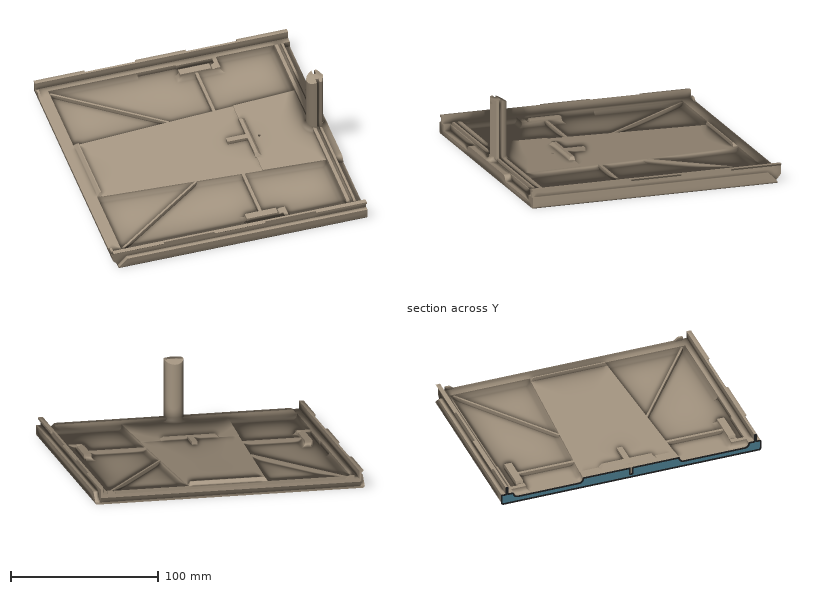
import cadquery as cq
import math

WIDTH = 188.0
LENGTH = 180.0
HEIGHT = 51.0
SIDE_X = WIDTH / 2
REAR_Y = LENGTH / 2
FRONT_Y = -REAR_Y

SKIRT_Z = 1.5
SKIRT_RADIUS = 1.4
FLOOR_Z = 4.2
FRONT_PLATEAU_Z = 7.2
RAIL_Z = 7.7
RIDGE_Z = 10.1
WALL_Z = 13.2
COVE_RADIUS = 3.0

WALL_OUTER_X = 91.0
WALL_INNER_X = 89.4
BEAD_PROJECTION = 1.6
BEAD_LENGTH = 36.0

SKIRT_FRONT_Y = FRONT_Y + 3.4
FRONT_CHAMFER_TOP_Z = 5.4
LEDGE_END_Y = FRONT_Y + 9.4

POCKET_X = 85.3
POCKET_FRONT_Y = -81.8
POCKET_REAR_Y = 78.3
PLATEAU_REAR_HALF = 37.1
PLATEAU_FRONT_HALF = 27.5
PLATEAU_STEP_Y = 33.8
FRONT_COVE_END_Y = -18.4

GROOVE_FRONT_Y = 80.6
GROOVE_REAR_Y = 83.0
REAR_RIDGE_Y = 84.5
SHELF_FRONT_Y = 85.3
SHELF_Z = 3.5
TAB_HALF = 38.3
TAB_RADIUS = 4.0
RIDGE_END_RUN = 2.6

FRONT_RIDGE_RUN = 2.5
FRONT_RIDGE_CREST = 0.8
FRONT_RIDGE_END_RUN = 1.5
BUMP_OUTER_X = 86.2
BUMP_TOP_X = 82.9
BUMP_INNER_X = 80.0
BUMP_DEPTH = 1.6

CLIP_INNER_X = 74.5
CLIP_OUTER_X = 79.7
CLIP_REAR_Y = 37.3
CLIP_FRONT_Y = 8.7
CLIP_BAR_Z = 8.4
CLIP_FOOT_OUTER_X = 78.6
SLOT_OUTER_X = 84.6
SLOT_REAR_Y = 34.5
CLIP_NOTCH_REAR_Y = 33.6
CLIP_BAR_REAR_Y = 30.7
CLIP_NOTCH_Y = 31.9
CLIP_NOTCH_DEPTH = 1.0

CROSS_RIB_WIDTH = 2.1
DIAGONAL_RIB_WIDTH = 1.4
CROSS_RIB_Y = 20.2
DIAGONAL_RIB_FRONT = (-82.9, -81.3)
DIAGONAL_RIB_REAR = (-31.6, -12.5)

STOP_Z = 9.7
STOP_END_RUN = 2.2
STOP_REAR_RUN = 2.0
STOP_HALF = 20.2
STOP_FRONT_Y = 33.0
STOP_REAR_Y = 37.5
STOP_STEM_HALF = 2.0
STOP_STEM_END_Y = 18.9
PIN_HOLE_DIAMETER = 2.0
PIN_HOLE_Y = 42.0
PIN_HOLE_DEPTH = 5.0

POST_RADIUS = 6.7
POST_Y = 82.3
POST_STEM_HALF = 2.8
POST_SLOT_FRONT_Y = 81.0
POST_SLOT_REAR_Y = 83.1
POST_APEX_Y = 87.4
POST_ROOF_SLOPE = 0.4
POST_TOP_DROP = 2.7
POST_HEAD_FOOT_RADIUS = 5.2


def box(x0, x1, y0, y1, z0, z1):
    """Axis-aligned block between two opposite corners."""
    return cq.Workplane("XY").box(x1 - x0, y1 - y0, z1 - z0, centered=False).translate((x0, y0, z0))


def prism_along_x(yz_points, x0, x1):
    return cq.Workplane("YZ").polyline(yz_points).close().extrude(x1 - x0).translate((x0, 0, 0))


def prism_along_y(xz_points, y0, y1):
    return cq.Workplane("XZ").polyline(xz_points).close().extrude(y0 - y1).translate((0, y0, 0))


def prism_along_z(xy_points, z0, z1):
    return cq.Workplane("XY").workplane(offset=z0).polyline(xy_points).close().extrude(z1 - z0)


def both_sides(left):
    """A left-hand feature together with its mirror image."""
    return left.union(left.mirror("YZ"))


def plateau_half(y):
    """Half width of the tapering plateau at a given Y."""
    share = (POCKET_REAR_Y - y) / (POCKET_REAR_Y - POCKET_FRONT_Y)
    return PLATEAU_REAR_HALF + share * (PLATEAU_FRONT_HALF - PLATEAU_REAR_HALF)


def cove(start, end):
    """Concave quarter-round on the floor, to the left of the wall line from start to end."""
    run_x = end[0] - start[0]
    run_y = end[1] - start[1]
    length = math.hypot(run_x, run_y)
    foot = cq.Plane(
        origin=(start[0], start[1], FLOOR_Z),
        xDir=(-run_y / length, run_x / length, 0),
        normal=(run_x / length, run_y / length, 0),
    )
    sag = COVE_RADIUS * (1 - math.sqrt(0.5))
    return (
        cq.Workplane(foot)
        .lineTo(COVE_RADIUS, 0)
        .threePointArc((sag, sag), (0, COVE_RADIUS))
        .close()
        .extrude(length)
    )


def make_base():
    """Plate with its front underside cut back, and ledges that end in a slope at the front."""
    core = prism_along_x(
        [
            (REAR_Y, 0),
            (SKIRT_FRONT_Y, 0),
            (SKIRT_FRONT_Y, SKIRT_Z),
            (FRONT_Y, FRONT_CHAMFER_TOP_Z),
            (FRONT_Y, RAIL_Z),
            (REAR_Y, RAIL_Z),
        ],
        -WALL_OUTER_X,
        WALL_OUTER_X,
    )
    ledges = prism_along_x(
        [
            (REAR_Y, 0),
            (SKIRT_FRONT_Y, 0),
            (SKIRT_FRONT_Y, SKIRT_Z),
            (LEDGE_END_Y, RAIL_Z),
            (REAR_Y, RAIL_Z),
        ],
        -SIDE_X,
        SIDE_X,
    )
    ledges = ledges.faces("<Z").edges("|Y").edges("<X or >X").fillet(SKIRT_RADIUS)
    return core.union(ledges)


def make_guide_wall():
    """Left guide wall; the front and middle beads are undercut at 45 degrees, the rear one is square."""
    wall = box(-WALL_OUTER_X, -WALL_INNER_X, FRONT_Y, REAR_Y, FRONT_CHAMFER_TOP_Z, WALL_Z)
    bead_tip_x = -WALL_OUTER_X - BEAD_PROJECTION
    bead_root_z = WALL_Z - BEAD_PROJECTION
    undercut = [(-WALL_OUTER_X, bead_root_z), (bead_tip_x, WALL_Z), (-WALL_OUTER_X, WALL_Z)]
    for bead_y in (FRONT_Y, -BEAD_LENGTH / 2):
        wall = wall.union(prism_along_y(undercut, bead_y, bead_y + BEAD_LENGTH))
    square = box(bead_tip_x, -WALL_OUTER_X, REAR_Y - BEAD_LENGTH, REAR_Y, bead_root_z, WALL_Z)
    return wall.union(square)


def make_pocket():
    return box(-POCKET_X, POCKET_X, POCKET_FRONT_Y, POCKET_REAR_Y, FLOOR_Z, RAIL_Z)


def plateau_part(y_front, y_rear, top_z):
    front_half = plateau_half(y_front)
    rear_half = plateau_half(y_rear)
    outline = [(-front_half, y_front), (front_half, y_front), (rear_half, y_rear), (-rear_half, y_rear)]
    return prism_along_z(outline, FLOOR_Z, top_z)


def make_plateau():
    front = plateau_part(POCKET_FRONT_Y, PLATEAU_STEP_Y, FRONT_PLATEAU_Z)
    rear = plateau_part(PLATEAU_STEP_Y, POCKET_REAR_Y, RAIL_Z)
    return front.union(rear)


def make_left_coves():
    """Concave roundings along the walls of the left pocket."""
    rear_left = (-POCKET_X, POCKET_REAR_Y)
    front_left = (-POCKET_X, POCKET_FRONT_Y)
    rear_right = (-PLATEAU_REAR_HALF, POCKET_REAR_Y)
    front_right = (-PLATEAU_FRONT_HALF, POCKET_FRONT_Y)
    coves = cove(front_left, front_right)
    coves = coves.union(cove(front_right, rear_right))
    coves = coves.union(cove(rear_right, rear_left))
    coves = coves.union(cove(rear_left, (-POCKET_X, CLIP_REAR_Y)))
    return coves.union(cove((-POCKET_X, FRONT_COVE_END_Y), front_left))


def make_rear_ridge(y0, y1):
    """Ridge across the rear, with sloping ends."""
    crest_half = POCKET_X - RIDGE_END_RUN
    section = [(-POCKET_X, RAIL_Z), (POCKET_X, RAIL_Z), (crest_half, RIDGE_Z), (-crest_half, RIDGE_Z)]
    return prism_along_y(section, y0, y1)


def make_post_gap():
    """Gap in the rearmost ridge where the post stands."""
    return box(-POST_RADIUS, POST_RADIUS, GROOVE_REAR_Y, REAR_RIDGE_Y, RAIL_Z, RIDGE_Z)


def make_shelf_cut():
    """Step along the rear edge that leaves a central tab with rounded ends."""
    cut = box(-POCKET_X, POCKET_X, SHELF_FRONT_Y, REAR_Y, SHELF_Z, RAIL_Z)
    tab = box(-TAB_HALF, TAB_HALF, SHELF_FRONT_Y, REAR_Y, SHELF_Z - TAB_RADIUS, SHELF_Z + TAB_RADIUS)
    tab = tab.edges("|Y and >Z").fillet(TAB_RADIUS)
    return cut.cut(tab)


def make_front_ridge():
    """Ridge at the front of the plateau, sloping towards the front lip."""
    crest_y = POCKET_FRONT_Y + FRONT_RIDGE_RUN
    section = [
        (POCKET_FRONT_Y, FLOOR_Z),
        (POCKET_FRONT_Y, RAIL_Z),
        (crest_y, RIDGE_Z),
        (crest_y + FRONT_RIDGE_CREST, RIDGE_Z),
        (crest_y + FRONT_RIDGE_CREST, FLOOR_Z),
    ]
    crest_half = PLATEAU_FRONT_HALF - FRONT_RIDGE_END_RUN
    ends = [
        (-PLATEAU_FRONT_HALF, FLOOR_Z),
        (-PLATEAU_FRONT_HALF, RAIL_Z),
        (-crest_half, RIDGE_Z),
        (crest_half, RIDGE_Z),
        (PLATEAU_FRONT_HALF, RAIL_Z),
        (PLATEAU_FRONT_HALF, FLOOR_Z),
    ]
    ridge = prism_along_x(section, -PLATEAU_FRONT_HALF, PLATEAU_FRONT_HALF)
    return ridge.intersect(prism_along_y(ends, POCKET_FRONT_Y, 0))


def make_corner_bump():
    section = [
        (-BUMP_OUTER_X, RAIL_Z),
        (-BUMP_OUTER_X, RIDGE_Z),
        (-BUMP_TOP_X, RIDGE_Z),
        (-BUMP_INNER_X, RAIL_Z),
    ]
    return prism_along_y(section, FRONT_Y, FRONT_Y + BUMP_DEPTH)


def make_clip():
    """Left clip: a block on the rail with a flared foot, and a raised bar beside an open slot."""
    block = box(-POCKET_X, -CLIP_INNER_X, SLOT_REAR_Y, CLIP_REAR_Y, FLOOR_Z, RAIL_Z)
    lip = box(-POCKET_X, -SLOT_OUTER_X, CLIP_FRONT_Y, SLOT_REAR_Y, FLOOR_Z, RAIL_Z)
    bar = prism_along_x(
        [
            (CLIP_FRONT_Y, FLOOR_Z),
            (SLOT_REAR_Y, FLOOR_Z),
            (SLOT_REAR_Y, RAIL_Z),
            (CLIP_NOTCH_REAR_Y, RAIL_Z),
            (CLIP_NOTCH_Y, RAIL_Z - CLIP_NOTCH_DEPTH),
            (CLIP_BAR_REAR_Y, CLIP_BAR_Z),
            (CLIP_FRONT_Y, CLIP_BAR_Z),
        ],
        -CLIP_OUTER_X,
        -CLIP_INNER_X,
    )
    side_y0 = CLIP_FRONT_Y - COVE_RADIUS
    side_y1 = CLIP_REAR_Y + COVE_RADIUS
    foot_end_x = -CLIP_INNER_X + COVE_RADIUS
    side_foot = cove((-CLIP_INNER_X, side_y1), (-CLIP_INNER_X, side_y0))
    across = box(-POCKET_X, -CLIP_INNER_X, side_y0, side_y1, FLOOR_Z, RAIL_Z)
    rear_foot = cove((-POCKET_X, CLIP_REAR_Y), (foot_end_x, CLIP_REAR_Y))
    front_foot = cove((foot_end_x, CLIP_FRONT_Y), (-CLIP_FOOT_OUTER_X, CLIP_FRONT_Y))
    along = box(-POCKET_X, foot_end_x, CLIP_FRONT_Y, CLIP_REAR_Y, FLOOR_Z, RAIL_Z)
    foot = side_foot.union(across).intersect(along.union(rear_foot).union(front_foot))
    inside = box(-POCKET_X, -CLIP_INNER_X, CLIP_FRONT_Y, CLIP_REAR_Y, FLOOR_Z, RAIL_Z)
    return foot.cut(inside).union(block).union(lip).union(bar)


def make_left_ribs():
    cross_y0 = CROSS_RIB_Y - CROSS_RIB_WIDTH / 2
    cross_x1 = -plateau_half(CROSS_RIB_Y)
    cross = box(-CLIP_INNER_X, cross_x1, cross_y0, cross_y0 + CROSS_RIB_WIDTH, FLOOR_Z, FRONT_PLATEAU_Z)
    run_x = DIAGONAL_RIB_REAR[0] - DIAGONAL_RIB_FRONT[0]
    run_y = DIAGONAL_RIB_REAR[1] - DIAGONAL_RIB_FRONT[1]
    length = math.hypot(run_x, run_y)
    diagonal = (
        box(0, length, -DIAGONAL_RIB_WIDTH / 2, DIAGONAL_RIB_WIDTH / 2, FLOOR_Z, FRONT_PLATEAU_Z)
        .rotate((0, 0, 0), (0, 0, 1), math.degrees(math.atan2(run_y, run_x)))
        .translate((DIAGONAL_RIB_FRONT[0], DIAGONAL_RIB_FRONT[1], 0))
    )
    return cross.union(diagonal)


def make_stop():
    """T-shaped stop on the plateau; its rear and its ends slope."""
    ends = [
        (-STOP_HALF, FLOOR_Z),
        (-STOP_HALF, RAIL_Z),
        (-STOP_HALF + STOP_END_RUN, STOP_Z),
        (STOP_HALF - STOP_END_RUN, STOP_Z),
        (STOP_HALF, RAIL_Z),
        (STOP_HALF, FLOOR_Z),
    ]
    section = [
        (STOP_FRONT_Y, FLOOR_Z),
        (STOP_FRONT_Y, STOP_Z),
        (STOP_REAR_Y - STOP_REAR_RUN, STOP_Z),
        (STOP_REAR_Y, RAIL_Z),
        (STOP_REAR_Y, FLOOR_Z),
    ]
    bar = prism_along_x(section, -STOP_HALF, STOP_HALF)
    bar = bar.intersect(prism_along_y(ends, STOP_FRONT_Y, STOP_REAR_Y))
    stem = box(-STOP_STEM_HALF, STOP_STEM_HALF, STOP_STEM_END_Y, STOP_FRONT_Y, FLOOR_Z, STOP_Z)
    return bar.union(stem)


def make_pin_hole():
    hole = cq.Workplane("XY").circle(PIN_HOLE_DIAMETER / 2).extrude(PIN_HOLE_DEPTH)
    return hole.translate((0, PIN_HOLE_Y, RAIL_Z - PIN_HOLE_DEPTH))


def post_foot(radius):
    """Round foot on the rail level that flares out from the given radius."""
    sag = COVE_RADIUS * (1 - math.sqrt(0.5))
    return (
        cq.Workplane("XZ")
        .moveTo(0, RAIL_Z)
        .lineTo(radius + COVE_RADIUS, RAIL_Z)
        .threePointArc((radius + sag, RAIL_Z + sag), (radius, RAIL_Z + COVE_RADIUS))
        .lineTo(0, RAIL_Z + COVE_RADIUS)
        .close()
        .revolve(360, (0, 0, 0), (0, 1, 0))
        .translate((0, POST_Y, 0))
    )


def make_post():
    """Post whose section is a round front, a narrow stem and a roof-shaped head."""
    reach = POST_RADIUS + COVE_RADIUS
    front_y = POST_Y - POST_RADIUS
    eave_y = POST_APEX_Y - POST_ROOF_SLOPE * POST_RADIUS
    roof = [
        (-POST_RADIUS, front_y),
        (POST_RADIUS, front_y),
        (POST_RADIUS, eave_y),
        (0, POST_APEX_Y),
        (-POST_RADIUS, eave_y),
    ]
    post = cq.Workplane("XY").circle(POST_RADIUS).extrude(HEIGHT - FLOOR_Z)
    post = post.translate((0, POST_Y, FLOOR_Z)).intersect(prism_along_z(roof, FLOOR_Z, HEIGHT))
    slot = box(-POST_RADIUS, -POST_STEM_HALF, POST_SLOT_FRONT_Y, POST_SLOT_REAR_Y, RAIL_Z, HEIGHT)
    post = post.cut(both_sides(slot))
    slope = [(front_y, HEIGHT - POST_TOP_DROP), (front_y, HEIGHT), (POST_SLOT_FRONT_Y, HEIGHT)]
    post = post.cut(prism_along_x(slope, -POST_RADIUS, POST_RADIUS))
    front_half = box(-reach, reach, POST_Y - reach, GROOVE_FRONT_Y, FLOOR_Z, HEIGHT)
    front_foot = post_foot(POST_RADIUS).intersect(front_half)
    rear_half = box(-reach, reach, REAR_RIDGE_Y, REAR_Y, FLOOR_Z, HEIGHT)
    rear_foot = post_foot(POST_HEAD_FOOT_RADIUS).intersect(rear_half)
    return post.union(front_foot).union(rear_foot)


tray = make_base().cut(make_pocket()).cut(make_shelf_cut())
tray = tray.union(make_plateau())
for left_feature in (
    make_guide_wall(),
    make_left_coves(),
    make_clip(),
    make_left_ribs(),
    make_corner_bump(),
):
    tray = tray.union(both_sides(left_feature))
for raised_feature in (
    make_rear_ridge(POCKET_REAR_Y, GROOVE_FRONT_Y),
    make_rear_ridge(GROOVE_REAR_Y, REAR_RIDGE_Y).cut(make_post_gap()),
    make_front_ridge(),
    make_stop(),
    make_post(),
):
    tray = tray.union(raised_feature)

result = tray.cut(make_pin_hole())